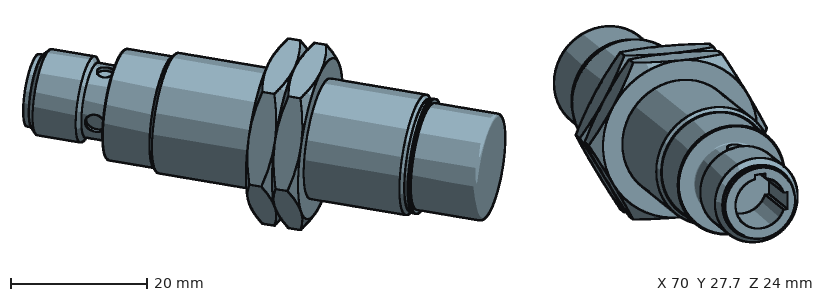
import cadquery as cq
import math


TIP_DIA = 10.85
COLLAR_DIA = 12.9
COLLAR_FRONT_DIA = 11.2
NECK_DIA = 11.2
TIP_END = 0.9
COLLAR_FRONT = 1.75
COLLAR_BACK = 8.3
NECK_START = 8.95
NECK_FILLET = 0.2

SHOULDER_DIA = 16.65
SHOULDER_START = 12.9
SHOULDER_CHAMFER = 0.15
BARREL_DIA = 18.0
BARREL_START = 20.15
BARREL_CHAMFER = 0.55

GROOVE_START = 59.1
GROOVE_DIA = 16.65
RING_DIA = 17.15
RING_START = 59.65
CAP_START = 60.0
CAP_DIA = 15.95
CAP_FILLET = 0.5
LENGTH = 70.0

SOCKET_DIA = 7.7
SOCKET_DEPTH = COLLAR_BACK
TOP_KEY_WIDTH = 1.6
TOP_KEY_REACH = 4.4
SIDE_KEY_WIDTH = 2.6
SIDE_KEY_REACH = 4.3

RECESS_X = 11.05
RECESS_DEPTH = 0.6
TOP_RECESS_DIA = 2.5
SIDE_RECESS_DIA = 3.1

NUT_COUNT = 2
NUT_START = 35.9
NUT_THICKNESS = 4.0
NUT_FLATS = 24.0
NUT_CHAMFER_ANGLE = 30.0


def make_turned_housing():
    """Turned body without its socket and recesses, revolved about the X axis."""
    tip_r = TIP_DIA / 2
    collar_r = COLLAR_DIA / 2
    neck_r = NECK_DIA / 2
    shoulder_r = SHOULDER_DIA / 2
    barrel_r = BARREL_DIA / 2
    barrel_end_r = barrel_r - BARREL_CHAMFER
    groove_r = GROOVE_DIA / 2
    ring_r = RING_DIA / 2
    cap_r = CAP_DIA / 2
    barrel_back = GROOVE_START - BARREL_CHAMFER
    neck_middle = NECK_FILLET * (1 - math.sqrt(0.5))
    cap_middle = CAP_FILLET * (1 - math.sqrt(0.5))

    profile = (
        cq.Workplane("XY")
        .moveTo(0, 0)
        .lineTo(0, tip_r)
        .lineTo(TIP_END, tip_r)
        .lineTo(TIP_END, COLLAR_FRONT_DIA / 2)
        .lineTo(COLLAR_FRONT, collar_r)
        .lineTo(COLLAR_BACK, collar_r)
        .lineTo(NECK_START, neck_r)
        .lineTo(SHOULDER_START - NECK_FILLET, neck_r)
        .threePointArc(
            (SHOULDER_START - neck_middle, neck_r + neck_middle),
            (SHOULDER_START, neck_r + NECK_FILLET),
        )
        .lineTo(SHOULDER_START, shoulder_r - SHOULDER_CHAMFER)
        .lineTo(SHOULDER_START + SHOULDER_CHAMFER, shoulder_r)
        .lineTo(BARREL_START, shoulder_r)
        .lineTo(BARREL_START, barrel_end_r)
        .lineTo(BARREL_START + BARREL_CHAMFER, barrel_r)
        .lineTo(barrel_back, barrel_r)
        .lineTo(GROOVE_START, barrel_end_r)
        .lineTo(GROOVE_START, groove_r)
        .lineTo(RING_START, groove_r)
        .lineTo(RING_START, ring_r)
        .lineTo(CAP_START, ring_r)
        .lineTo(CAP_START, cap_r)
        .lineTo(LENGTH - CAP_FILLET, cap_r)
        .threePointArc((LENGTH - cap_middle, cap_r - cap_middle), (LENGTH, cap_r - CAP_FILLET))
        .lineTo(LENGTH, 0)
        .close()
    )
    return profile.revolve(360, (0, 0, 0), (1, 0, 0))


def make_socket():
    """Round blind socket with one keyway towards +Z and a wider one towards -Y."""
    bore = cq.Workplane("YZ").circle(SOCKET_DIA / 2).extrude(SOCKET_DEPTH)
    top_key = cq.Workplane("XY").box(
        SOCKET_DEPTH, TOP_KEY_WIDTH, TOP_KEY_REACH, centered=(False, True, False)
    )
    side_key = (
        cq.Workplane("XY")
        .box(SOCKET_DEPTH, SIDE_KEY_REACH, SIDE_KEY_WIDTH, centered=(False, False, True))
        .translate((0, -SIDE_KEY_REACH, 0))
    )
    return bore.union(top_key).union(side_key)


def make_recess(plane, diameter):
    """Radial recess along the plane's normal, ending on a cylinder below the neck surface."""
    pin = cq.Workplane(plane, origin=(RECESS_X, 0, 0)).circle(diameter / 2).extrude(NECK_DIA)
    core = cq.Workplane("YZ").circle(NECK_DIA / 2 - RECESS_DEPTH).extrude(LENGTH)
    return pin.cut(core)


def make_housing():
    housing = make_turned_housing().cut(make_socket())
    housing = housing.cut(make_recess("XY", TOP_RECESS_DIA))
    return housing.cut(make_recess("XZ", SIDE_RECESS_DIA))


def make_nut(start):
    """Hexagon nut with corners on the Y axis, both faces chamfered down to a circle across the flats."""
    flat_r = NUT_FLATS / 2
    corner_r = flat_r / math.cos(math.pi / 6)
    chamfer = (corner_r - flat_r) * math.tan(math.radians(NUT_CHAMFER_ANGLE))

    hexagon = cq.Workplane("YZ").polygon(6, 2 * corner_r).extrude(NUT_THICKNESS)
    envelope = (
        cq.Workplane("XY")
        .moveTo(0, 0)
        .lineTo(0, flat_r)
        .lineTo(chamfer, corner_r)
        .lineTo(NUT_THICKNESS - chamfer, corner_r)
        .lineTo(NUT_THICKNESS, flat_r)
        .lineTo(NUT_THICKNESS, 0)
        .close()
        .revolve(360, (0, 0, 0), (1, 0, 0))
    )
    bore = cq.Workplane("YZ").circle(BARREL_DIA / 2).extrude(NUT_THICKNESS)
    return hexagon.intersect(envelope).cut(bore).translate((start, 0, 0))


housing = make_housing()
nuts = [make_nut(NUT_START + i * NUT_THICKNESS) for i in range(NUT_COUNT)]

result = cq.Compound.makeCompound([housing.val(), *[nut.val() for nut in nuts]])